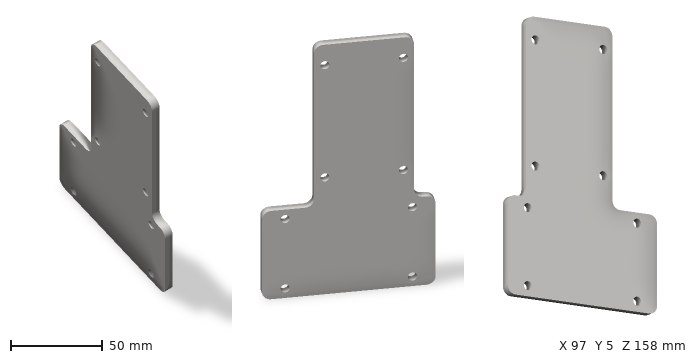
import cadquery as cq

height = 158.0
base_width = 97.0
thickness = 5.0

strip_breadth = 56.0
stem_left = 29.0
stem_right = stem_left + strip_breadth
corner_radius = 5.0

hole_diameter = 5.0
side_inset = 6.0
end_inset = 13.0
hole_pitch_long = base_width - 2 * end_inset


def plate():
    """T-shaped plate with its stem off centre and every corner rounded."""
    outline = [
        (0, 0),
        (base_width, 0),
        (base_width, strip_breadth),
        (stem_right, strip_breadth),
        (stem_right, height),
        (stem_left, height),
        (stem_left, strip_breadth),
        (0, strip_breadth),
    ]
    blank = cq.Workplane("XZ").polyline(outline).close().extrude(thickness)
    return blank.edges("|Y").fillet(corner_radius)


def hole_rectangle(x_positions, z_positions):
    """Hole centres at every combination of the given positions."""
    return [(x, z) for x in x_positions for z in z_positions]


base_holes = hole_rectangle(
    (end_inset, end_inset + hole_pitch_long),
    (side_inset, strip_breadth - side_inset),
)
stem_holes = hole_rectangle(
    (stem_left + side_inset, stem_right - side_inset),
    (height - end_inset - hole_pitch_long, height - end_inset),
)

hole_cutters = (
    cq.Workplane("XZ")
    .pushPoints(base_holes + stem_holes)
    .circle(hole_diameter / 2)
    .extrude(thickness)
)

result = plate().cut(hole_cutters)